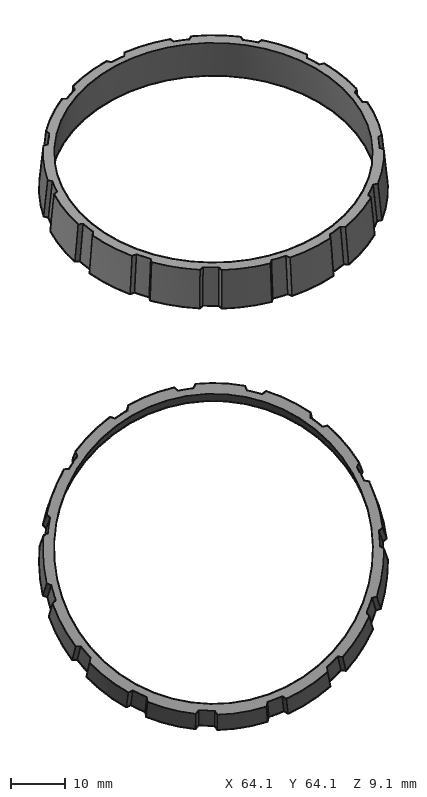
import cadquery as cq
import math

height = 9.1
bottom_radius = 32.05
top_radius = 31.3
wall = 2.05

notch_count = 15
notch_pitch = 360 / notch_count
first_notch_angle = 15.6
notch_depth = 0.8
mouth_angle = 7.2
floor_angle = 5.4
cutter_overhang = 0.65


def polar(radius, angle):
    """Point at a radius and an angle in degrees."""
    return (
        radius * math.cos(math.radians(angle)),
        radius * math.sin(math.radians(angle)),
    )


def draw_notch_section(plane, rim_radius, center_angle):
    """Sketch a flared notch with an arc floor concentric with the rim."""
    floor_radius = rim_radius - notch_depth
    outer_radius = rim_radius + cutter_overhang
    half_floor = floor_angle / 2
    flare_per_unit = (mouth_angle - floor_angle) / 2 / notch_depth
    half_outer = mouth_angle / 2 + flare_per_unit * cutter_overhang
    return (
        plane.moveTo(*polar(outer_radius, center_angle - half_outer))
        .lineTo(*polar(floor_radius, center_angle - half_floor))
        .threePointArc(
            polar(floor_radius, center_angle),
            polar(floor_radius, center_angle + half_floor),
        )
        .lineTo(*polar(outer_radius, center_angle + half_outer))
        .close()
    )


def notch_cutter(center_angle):
    """Notch that leans inward with the taper of the rim."""
    bottom = draw_notch_section(cq.Workplane("XY"), bottom_radius, center_angle)
    top_plane = bottom.workplane(offset=height, origin=(0, 0, 0))
    return draw_notch_section(top_plane, top_radius, center_angle).loft(ruled=True)


ring = (
    cq.Workplane("XZ")
    .moveTo(bottom_radius - wall, 0)
    .lineTo(bottom_radius, 0)
    .lineTo(top_radius, height)
    .lineTo(top_radius - wall, height)
    .close()
    .revolve(360, (0, 0, 0), (0, 1, 0))
)

for index in range(notch_count):
    ring = ring.cut(notch_cutter(first_notch_angle + index * notch_pitch))

result = ring